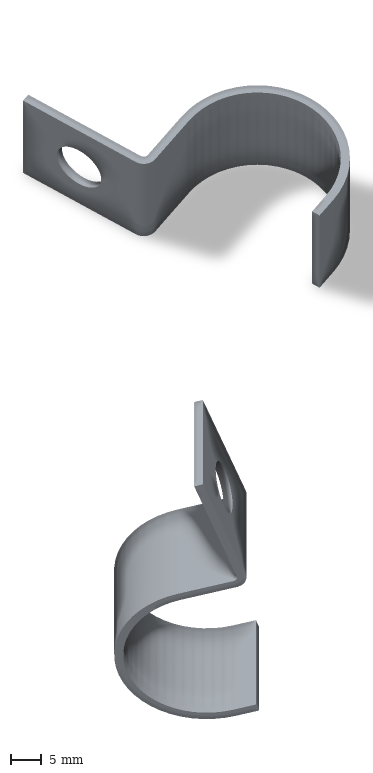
import cadquery as cq

length = 53.1
depth = 26.9
width = 19.05
thickness = 1.5
saddle_radius = 15.0
free_leg = 4.0
bend_inner_radius = 0.8
hole_diameter = 8.75
hole_x = 11.05

saddle_inner_radius = saddle_radius - thickness
saddle_x = length - saddle_radius
saddle_y = depth - saddle_radius
leg_left = saddle_x - saddle_radius
leg_right = leg_left + thickness
free_left = length - thickness
free_end_y = saddle_y - free_leg
bend_outer_radius = bend_inner_radius + thickness


def make_strip():
    """Extrude the strip profile with a flat tab, a leg, a saddle and a free leg."""
    return (
        cq.Workplane("XY")
        .moveTo(0, 0)
        .lineTo(leg_right, 0)
        .lineTo(leg_right, saddle_y)
        .threePointArc((saddle_x, saddle_y + saddle_inner_radius), (free_left, saddle_y))
        .lineTo(free_left, free_end_y)
        .lineTo(length, free_end_y)
        .lineTo(length, saddle_y)
        .threePointArc((saddle_x, depth), (leg_left, saddle_y))
        .lineTo(leg_left, thickness)
        .lineTo(0, thickness)
        .close()
        .extrude(width)
    )


def round_bend(strip):
    """Round both sides of the bend about a common axis."""
    corners = (
        (leg_left, thickness, bend_inner_radius),
        (leg_right, 0, bend_outer_radius),
    )
    for x, y, radius in corners:
        corner = cq.selectors.NearestToPointSelector((x, y, width / 2))
        strip = strip.edges("|Z").edges(corner).fillet(radius)
    return strip


def make_hole_cutter():
    """Cylinder along Y through the tab."""
    return (
        cq.Workplane("XZ")
        .center(hole_x, width / 2)
        .circle(hole_diameter / 2)
        .extrude(-thickness)
    )


result = round_bend(make_strip()).cut(make_hole_cutter())